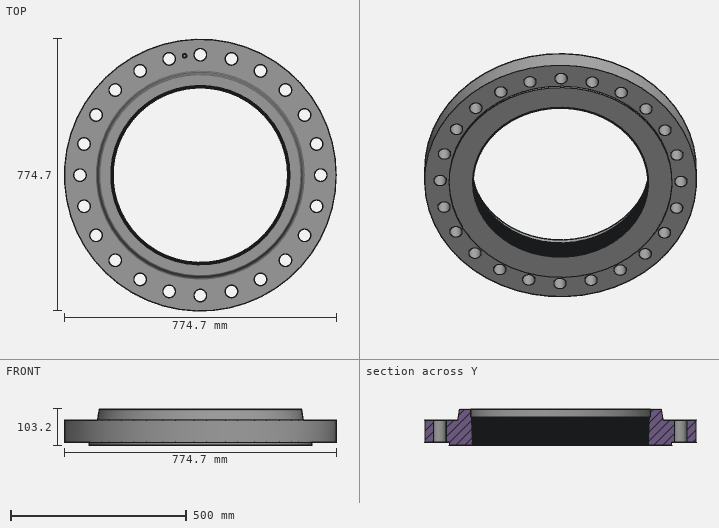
import cadquery as cq
import math

inch = 25.4

flange_diameter = 774.7
flange_thickness = 63.5
raised_face_diameter = 635.0
raised_face_height = 8.0

hub_base_diameter = 587.4
hub_top_diameter = 577.0
hub_height = 31.75
hub_edge_radius = 2.5
hub_root_radius = 3.0

counterbore_diameter = 511.0
thread_length = 73.0
thread_pitch = inch / 8
thread_height = 2.5
bore_end_diameter = 496.8
thread_taper = 1 / 16

bolt_count = 24
bolt_circle_diameter = 685.8
bolt_hole_diameter = 35.0

tapped_hole_diameter = 12.7
tapped_hole_depth = 25.0
tapped_pitch = inch / 13
tapped_thread_height = 1.7
tapped_hole_angle = 90 + 180 / bolt_count

flange_top = raised_face_height + flange_thickness
total_height = flange_top + hub_height
counterbore_floor = raised_face_height + thread_length


def revolved(points):
    """Solid of revolution about Z from (radius, z) points."""
    return cq.Workplane("XZ").polyline(points).close().revolve(360, (0, 0, 0), (0, 1, 0))


def threaded_core(bottom, top, crest_radius, height, pitch, radial_slope=0):
    """Core of a ringed thread: opens at a groove root on top and narrows to crest_radius at the bottom."""
    def crest(z):
        return crest_radius + radial_slope * (z - bottom)

    half_pitch = pitch / 2
    flank_count = math.floor((top - bottom) / half_pitch)
    points = [(0, top)]
    for index in range(flank_count):
        z = top - index * half_pitch
        is_root = index % 2 == 0
        points.append((crest(z) + (height if is_root else 0), z))
    points.append((crest(bottom), bottom))
    points.append((0, bottom))
    return revolved(points)


def make_body():
    raised_face = cq.Workplane("XY").circle(raised_face_diameter / 2).extrude(raised_face_height)
    disc = (
        cq.Workplane("XY")
        .workplane(offset=raised_face_height)
        .circle(flange_diameter / 2)
        .extrude(flange_thickness)
    )
    hub = revolved([
        (0, flange_top),
        (hub_base_diameter / 2, flange_top),
        (hub_top_diameter / 2, total_height),
        (0, total_height),
    ])
    hub = hub.faces(">Z").edges().fillet(hub_edge_radius)
    body = raised_face.union(disc).union(hub)
    disc_top = body.faces(cq.selectors.NearestToPointSelector((0, 0, flange_top)))
    hub_root = disc_top.edges(cq.selectors.RadiusNthSelector(0))
    return hub_root.fillet(hub_root_radius)


def make_bore():
    counterbore = (
        cq.Workplane("XY")
        .workplane(offset=counterbore_floor)
        .circle(counterbore_diameter / 2)
        .extrude(total_height - counterbore_floor)
    )
    thread = threaded_core(
        0, counterbore_floor, bore_end_diameter / 2, thread_height, thread_pitch, thread_taper / 2
    )
    return counterbore.union(thread)


def make_bolt_holes():
    return (
        cq.Workplane("XY")
        .polarArray(bolt_circle_diameter / 2, 0, 360, bolt_count)
        .circle(bolt_hole_diameter / 2)
        .extrude(total_height)
    )


def make_tapped_hole():
    angle = math.radians(tapped_hole_angle)
    radius = bolt_circle_diameter / 2
    core = threaded_core(
        flange_top - tapped_hole_depth,
        flange_top,
        tapped_hole_diameter / 2 - tapped_thread_height,
        tapped_thread_height,
        tapped_pitch,
    )
    return core.translate((radius * math.cos(angle), radius * math.sin(angle), 0))


result = make_body().cut(make_bore()).cut(make_bolt_holes()).cut(make_tapped_hole())